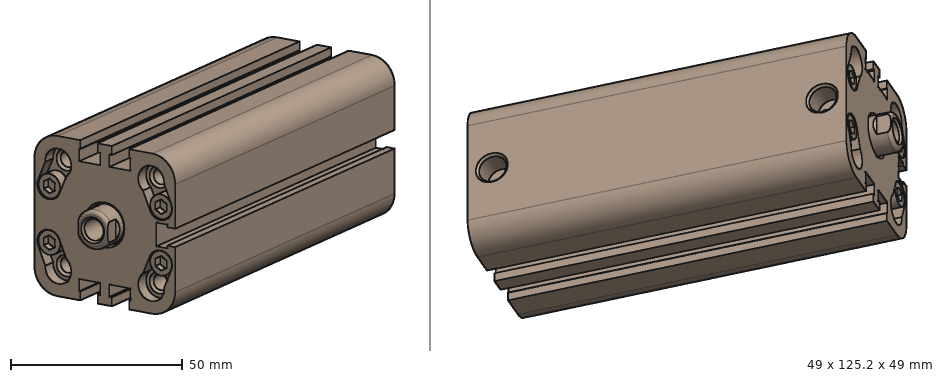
import cadquery as cq
import math


total_length = 125.2
width = 49.0
corner_radius = 8.0
rod_length = 6.5
barrel_length = total_length - rod_length
half_width = width / 2

mouth_depth = 2.8
slot_depth = 6.5
pair_mouth_near, pair_mouth_far = 2.5, 8.5
pair_groove_near, pair_groove_far = 1.6, 8.9
side_mouth_width = 5.6
side_groove_width = 7.3

hole_x = hole_z = 16.2
hole_diameter = 4.9
hole_chamfer_diameter = 6.6
screw_x, screw_z = 19.4, 8.6
screw_head_diameter = 7.5
screw_head_length = 4.0
hex_across_flats = 3.9
hex_depth = 2.5
pocket_depth = 4.3
pocket_hole_end_diameter = 9.0
pocket_width = 8.0

port_inset = 7.6
port_diameter = 8.5
port_rim_diameter = 10.0
port_depth = 8.0
passage_diameter = 2.5
passage_offset = 2.0
passage_length = 5.0

rod_diameter = 12.0
rod_end_round = 1.3
rod_flats = 10.3
flat_length = 4.4
clearance_diameter = 12.5
clearance_rim_diameter = 13.8
clearance_depth = 2.5
bore_diameter = 6.6
bore_rim_diameter = 8.0
bore_depth = 10.0
bore_tip_diameter = 1.3
drill_point_angle = 118


def cylinder(diameter, start, direction, length):
    """Cylinder growing from the start point along the direction."""
    return cq.Workplane(
        cq.Solid.makeCylinder(diameter / 2, length, cq.Vector(*start), cq.Vector(*direction))
    )


def cone(start_diameter, end_diameter, start, direction, length):
    """Truncated cone growing from the start point along the direction."""
    return cq.Workplane(
        cq.Solid.makeCone(
            start_diameter / 2, end_diameter / 2, length, cq.Vector(*start), cq.Vector(*direction)
        )
    )


def chamfered_hole(diameter, rim_diameter, start, direction, depth):
    """Hole with a 45 degree chamfer at its mouth."""
    chamfer = (rim_diameter - diameter) / 2
    hole = cylinder(diameter, start, direction, depth)
    return hole.union(cone(rim_diameter, diameter, start, direction, chamfer))


def slot_bar(x_min, x_max, z_min, z_max):
    """Bar of rectangular section running the full barrel length."""
    return cq.Workplane("XY").box(
        x_max - x_min, barrel_length, z_max - z_min, centered=False
    ).translate((x_min, 0, z_min))


def paired_slot():
    """T-slot in the +Z face on the +X side of the centre rib."""
    mouth = slot_bar(pair_mouth_near, pair_mouth_far, half_width - mouth_depth, half_width)
    groove = slot_bar(pair_groove_near, pair_groove_far, half_width - slot_depth, half_width - mouth_depth)
    return mouth.union(groove)


def side_slot():
    """T-slot in the middle of the +X face."""
    mouth = slot_bar(half_width - mouth_depth, half_width, -side_mouth_width / 2, side_mouth_width / 2)
    groove = slot_bar(
        half_width - slot_depth, half_width - mouth_depth, -side_groove_width / 2, side_groove_width / 2
    )
    return mouth.union(groove)


def corner_pocket():
    """Slanted pocket from the mounting hole to the cover screw of the +X +Z corner."""
    dx, dz = screw_x - hole_x, screw_z - hole_z
    slope = math.degrees(math.atan2(dz, dx))
    channel = (
        cq.Workplane("XZ")
        .center((hole_x + screw_x) / 2, (hole_z + screw_z) / 2)
        .slot2D(math.hypot(dx, dz) + pocket_width, pocket_width, slope)
        .extrude(-pocket_depth)
    )
    return channel.union(cylinder(pocket_hole_end_diameter, (hole_x, 0, hole_z), (0, 1, 0), pocket_depth))


def corner_screw():
    """Socket head of the cover screw standing on the floor of the pocket."""
    head_y = pocket_depth - screw_head_length
    head = cylinder(screw_head_diameter, (screw_x, head_y, screw_z), (0, 1, 0), screw_head_length)
    hex_across_corners = hex_across_flats / math.cos(math.pi / 6)
    socket = (
        cq.Workplane("XZ")
        .polygon(6, hex_across_corners)
        .extrude(-hex_depth)
        .rotate((0, 0, 0), (0, 1, 0), 30)
        .translate((screw_x, head_y, screw_z))
    )
    return head.cut(socket)


def mounting_hole():
    """Hole through to the rear face, chamfered at the pocket floor."""
    start = (hole_x, pocket_depth, hole_z)
    length = barrel_length - pocket_depth
    return chamfered_hole(hole_diameter, hole_chamfer_diameter, start, (0, 1, 0), length)


def air_port(port_y, towards_middle):
    """Port in the -X face with a small passage drilled in its floor, nearer the barrel middle."""
    port = chamfered_hole(port_diameter, port_rim_diameter, (-half_width, port_y, 0), (1, 0, 0), port_depth)
    passage_y = port_y + towards_middle * passage_offset
    passage = cylinder(passage_diameter, (port_depth - half_width, passage_y, 0), (1, 0, 0), passage_length)
    return port.union(passage)


def piston_rod():
    """Rod from the clearance floor to the rounded tip, with two wrench flats that ramp out."""
    rod = cylinder(rod_diameter, (0, clearance_depth, 0), (0, -1, 0), rod_length + clearance_depth)
    rod = rod.faces("<Y").edges().fillet(rod_end_round)
    ramp = (rod_diameter - rod_flats) / 2
    flat_start = flat_length - rod_length
    side_cut = (
        cq.Workplane("XY")
        .moveTo(rod_flats / 2, -rod_length)
        .lineTo(rod_flats / 2, flat_start)
        .lineTo(rod_diameter / 2, flat_start + ramp)
        .lineTo(rod_diameter / 2, -rod_length)
        .close()
        .extrude(rod_diameter / 2, both=True)
    )
    return rod.cut(side_cut).cut(side_cut.mirror("YZ"))


def rod_bore():
    """Blind bore in the rod tip ending in a drill point with a small flat."""
    bore = chamfered_hole(bore_diameter, bore_rim_diameter, (0, -rod_length, 0), (0, 1, 0), bore_depth)
    point_length = (bore_diameter - bore_tip_diameter) / 2 / math.tan(math.radians(drill_point_angle / 2))
    point_start = (0, bore_depth - rod_length, 0)
    return bore.union(cone(bore_diameter, bore_tip_diameter, point_start, (0, 1, 0), point_length))


def rod_clearance():
    """Shallow ring of clearance around the rod in the front face."""
    return chamfered_hole(clearance_diameter, clearance_rim_diameter, (0, 0, 0), (0, 1, 0), clearance_depth)


def in_four_corners(shape):
    """Copies of a +X +Z shape mirrored into all four corners."""
    right_pair = shape.union(shape.mirror("XY"))
    return right_pair.union(right_pair.mirror("YZ"))


barrel = cq.Workplane("XZ").rect(width, width).extrude(-barrel_length).edges("|Y").fillet(corner_radius)
barrel = barrel.cut(in_four_corners(paired_slot())).cut(side_slot())
barrel = barrel.cut(in_four_corners(corner_pocket())).cut(in_four_corners(mounting_hole()))
barrel = barrel.union(in_four_corners(corner_screw()))
barrel = barrel.cut(air_port(port_inset, 1)).cut(air_port(barrel_length - port_inset, -1))
barrel = barrel.cut(rod_clearance())

result = barrel.union(piston_rod()).cut(rod_bore())